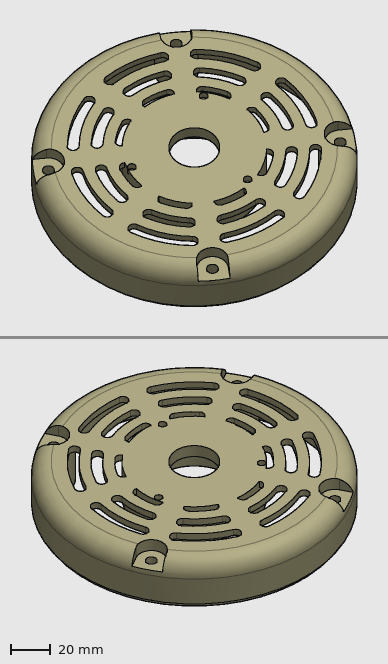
import cadquery as cq
import math

body_radius = 82.0
total_height = 29.0
edge_round = 10.0
wall_thickness = 5.1
wall_inner_radius = body_radius - wall_thickness
plate_thickness = 4.0

lip_step = 2.0
lip_radius = body_radius - lip_step
lip_height = 3.0

hub_radius = 36.4
hub_height = 23.0
hub_plate_thickness = 7.0
hub_cavity_radius = 25.0
bore_radius = 12.8

blind_hole_count = 3
blind_hole_circle = 34.0
blind_hole_radius = 2.1
blind_hole_depth = 4.0

screw_count = 4
first_screw_angle = 45
screw_circle = 74.0
screw_hole_radius = 3.0
seat_radius = 8.0
seat_depth = 7.0
boss_wall = 3.0
boss_radius = seat_radius + boss_wall

sector_count = 8
sector_angle = 360 / sector_count
rib_half_width = 5.5
slot_half_width = 3.0
inner_slot_circle = 37.0
slot_circle_step = 12.0
slot_ring_count = 3


def cylinder(radius, bottom, top, x=0):
    """Upright cylinder centred on (x, 0) between two heights."""
    return cq.Workplane("XY", origin=(x, 0, bottom)).circle(radius).extrude(top - bottom)


def polar(radius, angle):
    """Point at a radius and an angle in degrees from +X."""
    turn = math.radians(angle)
    return cq.Vector(radius * math.cos(turn), radius * math.sin(turn))


def copies_around(shape, count, first_angle=0):
    """Copies of a shape, evenly spaced around the Z axis."""
    angles = [first_angle + i * 360 / count for i in range(count)]
    return [shape.rotate((0, 0, 0), (0, 0, 1), angle) for angle in angles]


def cup():
    """Body with a rounded top edge, a stepped lip and an open underside."""
    body = cylinder(body_radius, lip_height, total_height).faces(">Z").edges().fillet(edge_round)
    lip = cylinder(lip_radius, 0, lip_height)
    inside = cylinder(wall_inner_radius, 0, total_height - plate_thickness)
    return body.union(lip).cut(inside)


def vent_slot(circle):
    """Round-ended arc slot in the first sector, clear of the ribs on both sides."""
    start = math.degrees(math.asin((rib_half_width + slot_half_width) / circle))
    end = sector_angle - start
    middle = sector_angle / 2
    inner = circle - slot_half_width
    outer = circle + slot_half_width
    start_tip = polar(circle, start) + polar(slot_half_width, start - 90)
    end_tip = polar(circle, end) + polar(slot_half_width, end + 90)
    return (
        cq.Workplane("XY")
        .moveTo(*polar(outer, start).toTuple()[:2])
        .threePointArc(polar(outer, middle), polar(outer, end))
        .threePointArc(end_tip, polar(inner, end))
        .threePointArc(polar(inner, middle), polar(inner, start))
        .threePointArc(start_tip, polar(outer, start))
        .close()
        .extrude(total_height)
    )


def hub():
    """Solid disc through the plate, hollowed from below."""
    bottom = total_height - hub_height
    disc = cylinder(hub_radius, bottom, total_height)
    cavity = cylinder(hub_cavity_radius, bottom, total_height - hub_plate_thickness)
    return disc.cut(cavity)


def screw_boss():
    """Boss on +X below a screw seat, reaching halfway into the outer wall."""
    boss = cylinder(boss_radius, 0, total_height - plate_thickness, screw_circle)
    return boss.intersect(cylinder(body_radius - wall_thickness / 2, 0, total_height))


def screw_seat():
    """Pocket on +X with a round inner end, open through the outer wall, and its screw hole."""
    floor = total_height - seat_depth
    round_end = cylinder(seat_radius, floor, total_height, screw_circle)
    run_length = 2 * (body_radius - screw_circle)
    run = (
        cq.Workplane("XY", origin=(screw_circle, 0, floor))
        .rect(run_length, 2 * seat_radius, centered=(False, True))
        .extrude(seat_depth)
    )
    hole = cylinder(screw_hole_radius, 0, total_height, screw_circle)
    return round_end.union(run).union(hole)


def blind_hole():
    """Shallow round hole on +X in the top of the hub."""
    return cylinder(blind_hole_radius, total_height - blind_hole_depth, total_height, blind_hole_circle)


result = cup()

for ring in range(slot_ring_count):
    slot = vent_slot(inner_slot_circle + ring * slot_circle_step)
    for cutter in copies_around(slot, sector_count):
        result = result.cut(cutter)

result = result.union(hub()).cut(cylinder(bore_radius, 0, total_height))

for cutter in copies_around(blind_hole(), blind_hole_count):
    result = result.cut(cutter)

for boss in copies_around(screw_boss(), screw_count, first_screw_angle):
    result = result.union(boss)

for cutter in copies_around(screw_seat(), screw_count, first_screw_angle):
    result = result.cut(cutter)